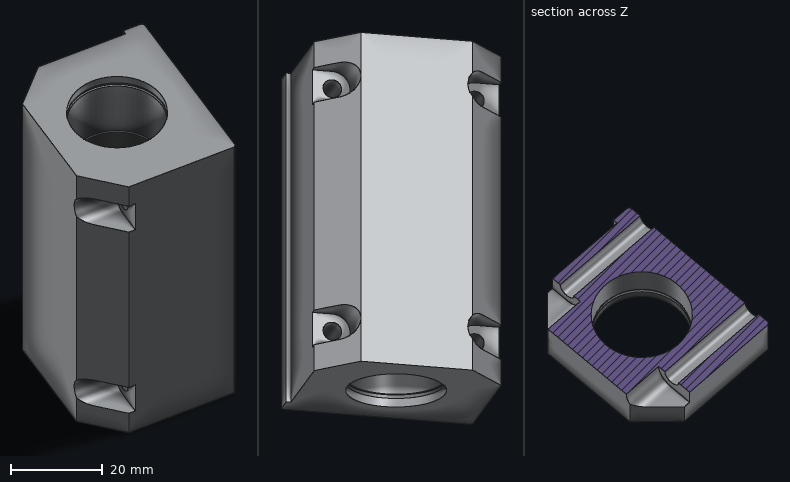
import cadquery as cq

width = 43.0
depth = 35.0
length = 76.0
half_width = width / 2
back = depth / 2
front = -back

ledge_depth = 5.0
ledge_overhang = 1.1
front_bevel = 8.4
back_chamfer = 0.5
body_left = ledge_overhang - half_width

bore_y = back - 18.0
bore_diameter = 21.0
mouth_diameter = 22.0
mouth_depth = 16.7
groove_diameter = 23.0
groove_offset = 2.0
groove_width = 1.0

screw_spacing_x = 32.0
screw_spacing_z = 56.0
screw_diameter = 4.1
seat_width = 8.0
seat_y = front + 10.0


def make_body():
    """Bevelled block with a ledge along the back of its -X side."""
    outline = [
        (body_left + front_bevel, front),
        (half_width - front_bevel, front),
        (half_width, front + front_bevel),
        (half_width, back - back_chamfer),
        (half_width - back_chamfer, back),
        (-half_width + back_chamfer, back),
        (-half_width, back - back_chamfer),
        (-half_width, back - ledge_depth),
        (body_left, back - ledge_depth),
        (body_left, front + front_bevel),
    ]
    return cq.Workplane("XY").polyline(outline).close().extrude(length / 2, both=True)


def bore_disc(diameter, bottom, height):
    """Cylinder on the bore axis, rising from the given Z."""
    disc = cq.Workplane("XY").circle(diameter / 2).extrude(height)
    return disc.translate((0, bore_y, bottom))


def make_bore():
    """Through bore with a wider mouth at each end, each holding a ring groove."""
    bore = bore_disc(bore_diameter, -length / 2, length)
    mouth = bore_disc(mouth_diameter, length / 2 - mouth_depth, mouth_depth)
    groove_bottom = length / 2 - groove_offset - groove_width
    groove = bore_disc(groove_diameter, groove_bottom, groove_width)
    upper_end = mouth.union(groove)
    return bore.union(upper_end).union(upper_end.mirror("XY"))


def make_screw_cut(side, z):
    """Screw hole and its round-nosed seat, open to the front and to one side (-1 or 1)."""
    x = side * screw_spacing_x / 2
    seat_height = seat_y - front
    seat_plane = cq.Workplane("XZ", origin=(x, seat_y, z))
    nose = seat_plane.circle(seat_width / 2).extrude(seat_height)
    opening = (
        seat_plane.center(side * half_width / 2, 0)
        .rect(half_width, seat_width)
        .extrude(seat_height)
    )
    hole = cq.Workplane("XZ", origin=(x, back, z)).circle(screw_diameter / 2).extrude(depth)
    return nose.union(opening).union(hole)


result = make_body().cut(make_bore())
for side in (-1, 1):
    for z in (-screw_spacing_z / 2, screw_spacing_z / 2):
        result = result.cut(make_screw_cut(side, z))